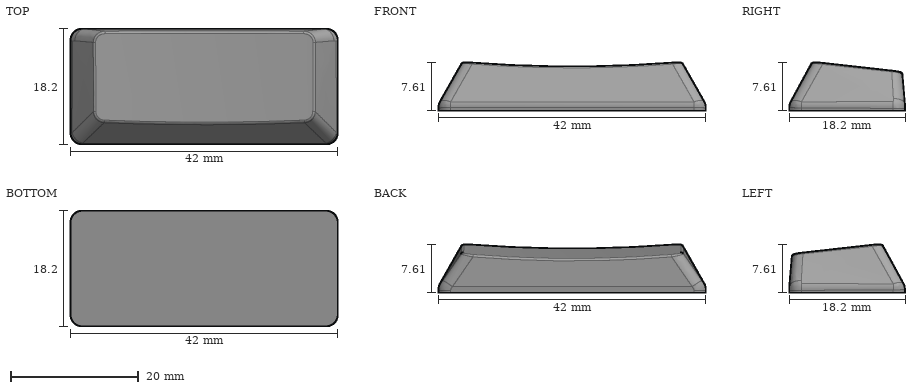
import cadquery as cq
import math

length = 41.95
depth = 18.17
rim_height = 1.0

top_length = 34.4
top_front_y = -5.37
top_back_y = 8.65
top_front_height = 7.85
top_tilt = 6.4

dish_depth = 0.75
dish_end_drop = 0.13

side_radius = 1.9
top_edge_radius = 0.4

cutter_margin = 4.2

tilt = math.radians(top_tilt)
top_depth = (top_back_y - top_front_y) / math.cos(tilt)
top_origin = cq.Vector(0, top_front_y, top_front_height)


def make_block():
    """Upright rim with four ruled sides leaning in to the tilted upper outline."""
    base_outline = cq.Sketch().rect(length, depth)
    top_outline = cq.Sketch().rect(top_length, top_depth)
    along_slope = cq.Vector(0, math.cos(tilt), -math.sin(tilt))
    top_plane = cq.Plane(
        origin=top_origin + along_slope * (top_depth / 2),
        xDir=(1, 0, 0),
        normal=(0, math.sin(tilt), math.cos(tilt)),
    )
    rim = cq.Workplane("XY").placeSketch(base_outline).extrude(rim_height)
    body = (
        cq.Workplane("XY")
        .placeSketch(
            base_outline.moved(cq.Location(cq.Vector(0, 0, rim_height))),
            top_outline.moved(cq.Location(top_plane)),
        )
        .loft(ruled=True)
    )
    return rim.union(body)


def round_sides(block):
    """Round the four corners over their full height, together with the ridge above the rim."""
    bottom_edges = block.faces("<Z").edges()
    top_edges = block.faces(">Z").edges()
    side_edges = [
        edge for edge in block.edges().vals()
        if not any(edge.isSame(end) for end in bottom_edges.vals() + top_edges.vals())
    ]
    return block.newObject(side_edges).fillet(side_radius)


def make_dish_cutter():
    """Body above the dish: the underside is a wide, shallow arc swept along the tilted plane."""
    half_top = top_length / 2
    dish_radius = (half_top**2 + dish_depth**2) / (2 * dish_depth)
    reach = half_top + cutter_margin
    centre_level = -dish_end_drop - dish_depth
    end_level = centre_level + dish_radius - math.sqrt(dish_radius**2 - reach**2)
    cutter_top = end_level + cutter_margin
    return (
        cq.Workplane("XZ")
        .moveTo(-reach, end_level)
        .threePointArc((0, centre_level), (reach, end_level))
        .lineTo(reach, cutter_top)
        .lineTo(-reach, cutter_top)
        .close()
        .extrude(depth, both=True)
        .rotate((0, 0, 0), (1, 0, 0), -top_tilt)
        .translate(top_origin)
    )


cap = round_sides(make_block()).cut(make_dish_cutter())
result = cap.faces("%CYLINDER").faces(">Z").edges().fillet(top_edge_radius)